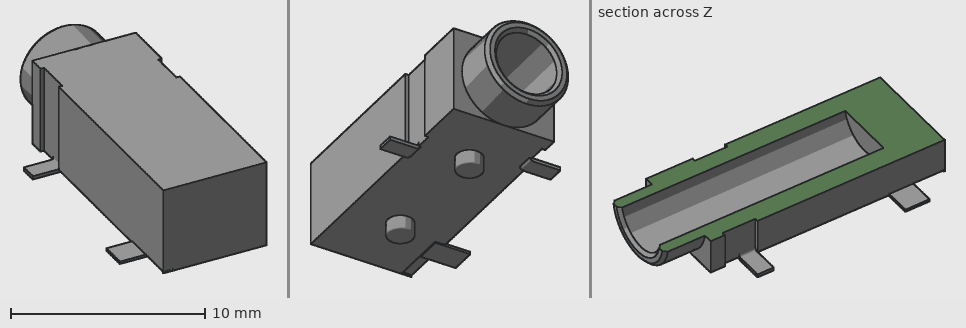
import cadquery as cq
import math

total_length = 17.0
barrel_length = 2.5
barrel_diameter = 5.0
bore_diameter = 3.6
bore_depth = 14.0
barrel_chamfer = 0.2
body_width = 6.0
body_height = barrel_diameter
half_width = body_width / 2

peg_diameter = 1.5
peg_length = 0.8
peg_fillet = 0.1
peg_positions = (6.0, 13.0)

recess_depth = 0.2
near_recess_start = 3.4
recess_split = 5.4
far_recess_end = 7.4
lead_width = 1.0
lead_span = 9.0
lead_reach = lead_span / 2
lead_thickness = 0.2
lead_top = 0.03
near_bend_radius = 0.15
far_bend_radius = recess_depth

tab_start = 13.55
tab_width = 1.5
tab_thickness = 0.15
relief_height = 0.08
relief_end = 16.93
relief_depth = 0.6


def box(x_range, y_range, z_range):
    """Box spanning the given ranges along the three axes."""
    (x0, x1), (y0, y1), (z0, z1) = x_range, y_range, z_range
    return cq.Workplane("XY").box(x1 - x0, y1 - y0, z1 - z0, centered=False).translate((x0, y0, z0))


def make_barrel():
    return (
        cq.Workplane("YZ")
        .center(0, body_height / 2)
        .circle(barrel_diameter / 2)
        .extrude(barrel_length)
        .faces("<X")
        .chamfer(barrel_chamfer)
    )


def make_bore():
    axis_height = body_height / 2
    bore_radius = bore_diameter / 2
    mouth_radius = bore_radius + barrel_chamfer
    profile = [
        (0, 0),
        (0, mouth_radius),
        (barrel_chamfer, bore_radius),
        (bore_depth, bore_radius),
        (bore_depth, 0),
    ]
    return (
        cq.Workplane("XY")
        .polyline(profile)
        .close()
        .revolve(360, (0, 0, 0), (1, 0, 0))
        .translate((0, 0, axis_height))
    )


def make_peg(x):
    return (
        cq.Workplane("XY")
        .center(x, 0)
        .circle(peg_diameter / 2)
        .extrude(-peg_length)
        .faces("<Z")
        .edges()
        .fillet(peg_fillet)
    )


def make_bent_lead(x_end, bend_radius, side):
    """L-shaped lead with a stem just inside the recess wall; side is the sign of Y."""
    wall = half_width - recess_depth
    center_y = wall + bend_radius
    center_z = lead_top + bend_radius
    outer_radius = bend_radius + lead_thickness
    diagonal = math.sqrt(0.5)
    profile = (
        cq.Workplane("YZ")
        .moveTo(side * lead_reach, lead_top)
        .lineTo(side * center_y, lead_top)
        .threePointArc(
            (side * (center_y - bend_radius * diagonal), center_z - bend_radius * diagonal),
            (side * wall, center_z),
        )
        .lineTo(side * (wall - lead_thickness), center_z)
        .threePointArc(
            (side * (center_y - outer_radius * diagonal), center_z - outer_radius * diagonal),
            (side * center_y, lead_top - lead_thickness),
        )
        .lineTo(side * lead_reach, lead_top - lead_thickness)
        .close()
    )
    return profile.extrude(lead_width).translate((x_end - lead_width, 0, 0))


body = box((barrel_length, total_length), (-half_width, half_width), (0, body_height))
near_recess = box(
    (near_recess_start, recess_split), (-half_width, recess_depth - half_width), (0, body_height)
)
far_recess = box((recess_split, far_recess_end), (half_width - recess_depth, half_width), (0, body_height))
tab_relief = box((tab_start, relief_end), (-half_width, relief_depth - half_width), (0, relief_height))
body = body.cut(near_recess).cut(far_recess).cut(tab_relief)

rear_tab = box(
    (tab_start, tab_start + tab_width),
    (-lead_reach, relief_depth - half_width),
    (relief_height - tab_thickness, relief_height),
)

result = body.union(make_barrel()).cut(make_bore())
for peg_x in peg_positions:
    result = result.union(make_peg(peg_x))
result = result.union(make_bent_lead(recess_split, near_bend_radius, -1))
result = result.union(make_bent_lead(far_recess_end, far_bend_radius, 1))
result = result.union(rear_tab)